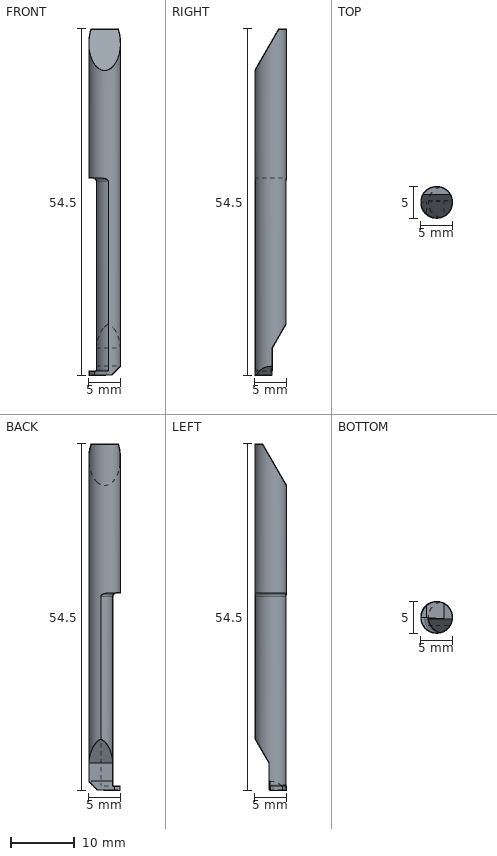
import cadquery as cq
import math

bar_radius = 2.5
bar_length = 54.5

bevel_angle = math.radians(30)
bevel_top_y = 1.25

neck_radius = 2.5
neck_axis_x = 1.2
neck_bottom_z = 0.7
neck_top_z = 31.1
neck_top_fillet = 0.6
neck_foot_fillet = 0.15

flat_y = 0.27
flat_top_z = 4.35
runout_angle = math.radians(30)

rake_top_z = 1.48
rake_angle = math.radians(3.4)

end_relief_angle = math.radians(1)

corner_chamfer = 1.44

edge_x = -2.45
land_end = (-2.4, -0.37)
relief_middle = (-1.56, -1.88)
relief_end_x = 0.24
relief_end = (relief_end_x, -math.sqrt(bar_radius**2 - relief_end_x**2))

tip_joint_x = -1.56

clearance = 2.0
reach = bar_radius + clearance


def bevel_cut():
    """Wedge removed from the -Y side of the shank end, running along X."""
    bevel_depth = (bevel_top_y + reach) / math.tan(bevel_angle)
    return (
        cq.Workplane("YZ")
        .moveTo(bevel_top_y, bar_length)
        .lineTo(-reach, bar_length - bevel_depth)
        .lineTo(-reach, bar_length)
        .close()
        .extrude(reach, both=True)
    )


def neck_cut():
    """Material outside the offset neck cylinder, whose two ends flare into fillets."""
    blend = math.sqrt(0.5)
    foot_blend = neck_foot_fillet * (1 - blend)
    top_blend = neck_top_fillet * (1 - blend)
    neck = (
        cq.Workplane("XZ", origin=(neck_axis_x, 0, 0))
        .moveTo(0, neck_bottom_z)
        .lineTo(neck_radius + neck_foot_fillet, neck_bottom_z)
        .threePointArc(
            (neck_radius + foot_blend, neck_bottom_z + foot_blend),
            (neck_radius, neck_bottom_z + neck_foot_fillet),
        )
        .lineTo(neck_radius, neck_top_z - neck_top_fillet)
        .threePointArc(
            (neck_radius + top_blend, neck_top_z - top_blend),
            (neck_radius + neck_top_fillet, neck_top_z),
        )
        .lineTo(0, neck_top_z)
        .close()
        .revolve(360, (0, 0, 0), (0, 1, 0))
    )
    surround = (
        cq.Workplane("XY", origin=(0, 0, neck_bottom_z))
        .rect(2 * reach, 2 * reach)
        .extrude(neck_top_z - neck_bottom_z)
    )
    return surround.cut(neck)


def flat_cut():
    """Material above the flat at the cutting end, with a sloping run-out."""
    runout_length = (reach - flat_y) / math.tan(runout_angle)
    return (
        cq.Workplane("YZ")
        .moveTo(flat_y, -clearance)
        .lineTo(flat_y, flat_top_z)
        .lineTo(reach, flat_top_z + runout_length)
        .lineTo(reach, -clearance)
        .close()
        .extrude(reach, both=True)
    )


def rake_cut():
    """Material above the rake face, which passes through the cutting edge."""
    run = flat_y / math.tan(rake_angle)
    return (
        cq.Workplane("XY", origin=(0, 0, -clearance))
        .moveTo(edge_x, 0)
        .lineTo(edge_x + run, flat_y)
        .lineTo(edge_x + run, reach)
        .lineTo(-reach, reach)
        .lineTo(-reach, 0)
        .close()
        .extrude(clearance + rake_top_z)
    )


def corner_cut():
    """Wedge removed from the +X bottom corner, running along Y."""
    return (
        cq.Workplane("XZ")
        .moveTo(bar_radius - corner_chamfer, 0)
        .lineTo(bar_radius, 0)
        .lineTo(bar_radius, corner_chamfer)
        .close()
        .extrude(reach, both=True)
    )


def head_relief_cut():
    """Material outside the land and relief arc of the cutting head."""
    return (
        cq.Workplane("XY")
        .moveTo(edge_x, 0)
        .lineTo(*land_end)
        .threePointArc(relief_middle, relief_end)
        .lineTo(relief_end_x, -reach)
        .lineTo(-reach, -reach)
        .lineTo(-reach, 0)
        .close()
        .extrude(neck_bottom_z)
    )


def end_relief_cut():
    """Thin wedge removed from the end face, starting at the cutting edge."""
    run = reach - edge_x
    return (
        cq.Workplane("XZ")
        .moveTo(edge_x, 0)
        .lineTo(edge_x + run, 0)
        .lineTo(edge_x + run, run * math.tan(end_relief_angle))
        .close()
        .extrude(reach, both=True)
    )


def tip_space():
    """Space of the cutting tip: the head on the -X side of the joint plane."""
    return (
        cq.Workplane("XY")
        .moveTo(-reach, -reach)
        .lineTo(tip_joint_x, -reach)
        .lineTo(tip_joint_x, reach)
        .lineTo(-reach, reach)
        .close()
        .extrude(neck_bottom_z)
    )


blank = cq.Workplane("XY").circle(bar_radius).extrude(bar_length)
shank_cutters = [bevel_cut(), neck_cut()]
head_cutters = [flat_cut(), rake_cut(), corner_cut(), head_relief_cut(), end_relief_cut()]
for cutter in shank_cutters + head_cutters:
    blank = blank.cut(cutter)

holder = blank.cut(tip_space())

cutting_tip = blank.intersect(tip_space())

result = cq.Compound.makeCompound([holder.val(), cutting_tip.val()])